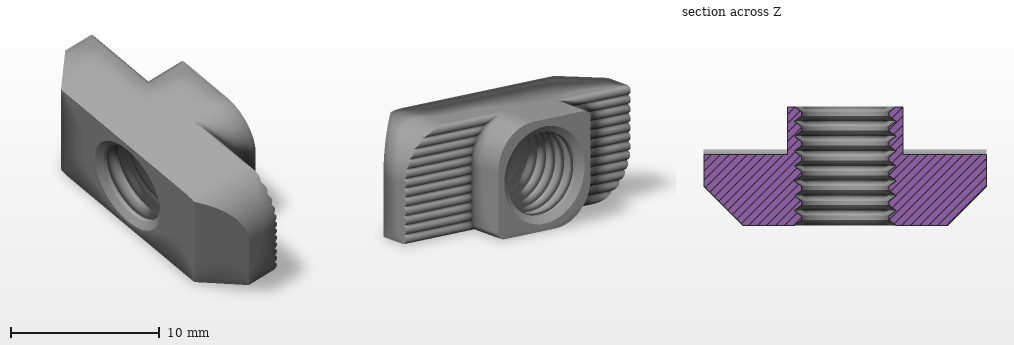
import cadquery as cq

flange_length = 19.0
height = 7.8
flange_corner_radius = 3.5
end_chamfer = 2.6

total_depth = 8.0
neck_width = height
neck_large_radius = 3.0
neck_small_radius = 0.5

rib_count = 12
rib_pitch = height / rib_count
rib_radius = rib_pitch / 2
rib_tip_y = 5.1
rib_valley_y = rib_tip_y - rib_radius

thread_major_radius = 3.4
thread_minor_radius = 2.92
thread_pitch = 1.0
thread_crest = 0.28
thread_flank = (thread_pitch - thread_crest) / 2
groove_count = round(total_depth / thread_pitch)


def upright_bar(width, depth, large_radius):
    """Block from Y = 0 to depth, with its two opposite large corners rounded."""
    bar = cq.Workplane("XY").box(width, depth, height, centered=(True, False, True))
    bar = bar.edges(">X and >Z").fillet(large_radius)
    return bar.edges("<X and <Z").fillet(large_radius)


def ribbed_profile():
    """Side outline in YZ: flat front, row of half-round ribs along the back."""
    bottom = -height / 2
    profile = cq.Workplane("YZ").moveTo(0, bottom).lineTo(rib_valley_y, bottom)
    for index in range(rib_count):
        start_z = bottom + index * rib_pitch
        profile = profile.threePointArc(
            (rib_tip_y, start_z + rib_radius),
            (rib_valley_y, start_z + rib_pitch),
        )
    return profile.lineTo(0, height / 2).close()


def make_flange():
    half_length = flange_length / 2
    bar = upright_bar(flange_length, rib_tip_y, flange_corner_radius)
    ribs = ribbed_profile().extrude(half_length, both=True)
    plan = (
        cq.Workplane("XY")
        .workplane(offset=-height / 2)
        .moveTo(-half_length + end_chamfer, 0)
        .lineTo(half_length - end_chamfer, 0)
        .lineTo(half_length, end_chamfer)
        .lineTo(half_length, rib_tip_y)
        .lineTo(-half_length, rib_tip_y)
        .lineTo(-half_length, end_chamfer)
        .close()
        .extrude(height)
    )
    return bar.intersect(ribs).intersect(plan)


def make_neck():
    bar = upright_bar(neck_width, total_depth, neck_large_radius)
    bar = bar.edges("<X and >Z").fillet(neck_small_radius)
    bar = bar.edges(">X and <Z").fillet(neck_small_radius)
    neck_front = cq.Workplane("XY").box(neck_width, rib_valley_y, height, centered=(True, False, True))
    return bar.cut(neck_front)


def make_thread_cutter():
    """Solid of revolution about Y that fills the threaded hole."""
    profile = cq.Workplane("XY").moveTo(0, 0).lineTo(thread_major_radius, 0)
    for index in range(groove_count):
        groove_y = index * thread_pitch
        crest_start = groove_y + thread_flank
        crest_end = crest_start + thread_crest
        root_y = crest_end + thread_flank
        profile = (
            profile.lineTo(thread_minor_radius, crest_start)
            .lineTo(thread_minor_radius, crest_end)
            .lineTo(thread_major_radius, root_y)
        )
    return profile.lineTo(0, total_depth).close().revolve(360, (0, 0), (0, 1))


result = make_flange().union(make_neck()).cut(make_thread_cutter())